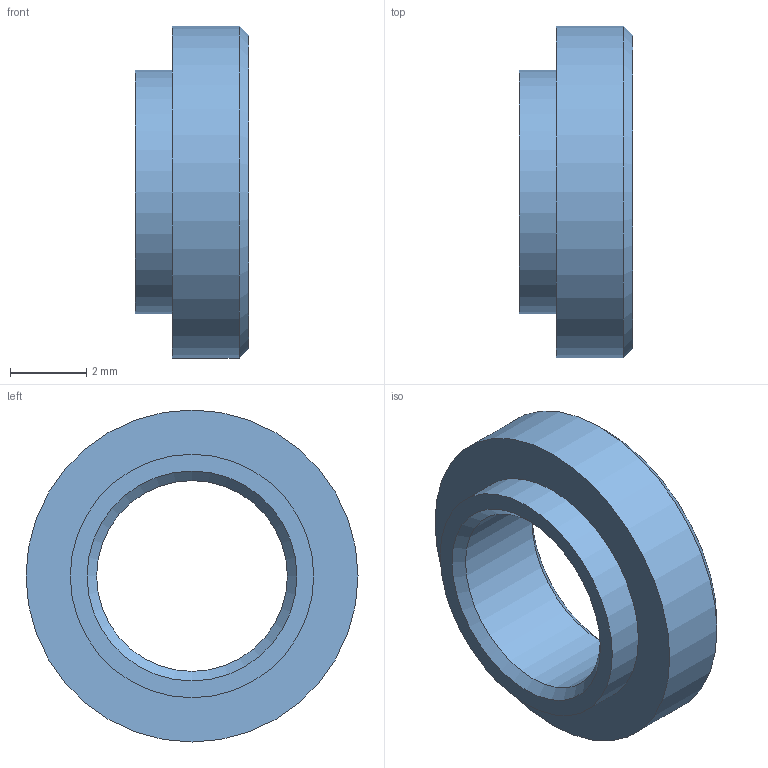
import cadquery as cq

total_length = 2.97
flange_thickness = 2.0
flange_diameter = 8.7
collar_diameter = 6.38
bore_diameter = 5.0
chamfer_size = 0.25

collar_length = total_length - flange_thickness


def cylinder_along_x(diameter, start_x, length):
    """Solid cylinder on the X axis, running from start_x towards +X."""
    return cq.Workplane("YZ", origin=(start_x, 0, 0)).circle(diameter / 2).extrude(length)


def make_flange():
    """Flange disc with its outer rim chamfered on the +X side."""
    flange = cylinder_along_x(flange_diameter, 0, flange_thickness)
    return flange.faces(">X").edges().chamfer(chamfer_size)


def make_collar():
    """Smaller collar standing on the -X side of the flange."""
    return cylinder_along_x(collar_diameter, -collar_length, collar_length)


def cut_bore(body):
    """Through bore with both mouths chamfered."""
    bored = body.cut(cylinder_along_x(bore_diameter, -collar_length, total_length))
    bore_mouths = bored.faces("<X or >X").edges(cq.selectors.RadiusNthSelector(0))
    return bore_mouths.chamfer(chamfer_size)


result = cut_bore(make_flange().union(make_collar()))